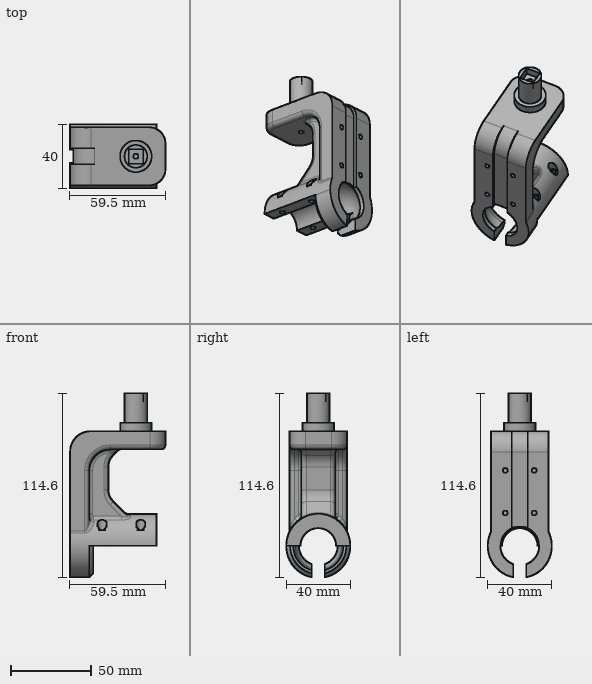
import cadquery as cq
import math

bracket_length = 59.5
bracket_width = 36.0
plate_top = 71.5
plate_thickness = 11.5
plate_corner_radius = 10.0
leg_thickness = 12.0
outer_bend_radius = 13.0
inner_bend_radius = 13.0
edge_round = 3.0
plate_bottom = plate_top - plate_thickness

groove_width = 10.0
groove_depth = 2.0
groove_end = 12.2
groove_end_round = 1.2

rib_width = 21.0
rib_front = 24.0
rib_lower_bend = 30.7
rib_upper_bend = 53.5
rib_bend_radius = 10.0
rib_root_fillet = 2.0

tolerance = 0.01

tube_radius = 20.0
tube_length = 54.0
tube_bore_radius = 11.0
tube_fillet = 3.0
ring_length = 14.5
ring_chamfer = 2.5
ring_slot_width = 8.0

socket_mouth_radius = 12.0
socket_mouth_length = 3.0
ball_radius = 14.5
ball_center = socket_mouth_length + math.sqrt(ball_radius**2 - socket_mouth_radius**2)
socket_exit_radius = 15.6

post_x = 41.0
post_radius = 14.2 / 2
post_top = 95.0
collar_radius = 19.7 / 2
collar_height = 5.2
square_size = 9.0
square_depth = 5.0
post_hole_diameter = 3.2

screw_x = (20.0, 44.0)
screw_y = 14.6
screw_diameter = 3.4
screw_head_diameter = 5.8
screw_seat = 9.6

back_hole_diameter = 3.0
back_hole_depth = 10.0
back_hole_y = 9.0
back_hole_z = (20.5, 47.0)


def make_bracket():
    """L-shaped leg and plate, its inner edge and free end rounded."""
    outline = (
        cq.Workplane("XZ")
        .moveTo(0, 0)
        .lineTo(0, plate_top - outer_bend_radius)
        .radiusArc((outer_bend_radius, plate_top), outer_bend_radius)
        .lineTo(bracket_length, plate_top)
        .lineTo(bracket_length, plate_bottom)
        .lineTo(leg_thickness + inner_bend_radius, plate_bottom)
        .radiusArc((leg_thickness, plate_bottom - inner_bend_radius), -inner_bend_radius)
        .lineTo(leg_thickness, 0)
        .close()
    )
    body = outline.extrude(bracket_width / 2, both=True)
    body = body.edges("|Z and >X").fillet(plate_corner_radius)
    inner_edge = (bracket_length / 2, -bracket_width / 2, plate_bottom)
    return body.edges(cq.selectors.NearestToPointSelector(inner_edge)).fillet(edge_round)


def make_rib():
    """Rib with a bowed, rounded front edge."""
    rib_top = plate_bottom + plate_thickness / 2
    rib_bottom = tube_radius / 2
    upper_x = rib_front + rib_top - rib_upper_bend
    lower_x = rib_front + rib_lower_bend - rib_bottom
    points = [
        (leg_thickness / 2, rib_top),
        (upper_x, rib_top),
        (rib_front, rib_upper_bend),
        (rib_front, rib_lower_bend),
        (lower_x, rib_bottom),
        (leg_thickness / 2, rib_bottom),
    ]
    rib = cq.Workplane("XZ").polyline(points).close().extrude(rib_width / 2, both=True)
    bends = cq.selectors.BoxSelector(
        (rib_front - tolerance, -rib_width, rib_lower_bend - tolerance),
        (rib_front + tolerance, rib_width, rib_upper_bend + tolerance),
    )
    rib = rib.edges("|Y").edges(bends).fillet(rib_bend_radius)
    middle_z = (rib_lower_bend + rib_upper_bend) / 2
    for side in (-1, 1):
        front_edge = cq.selectors.NearestToPointSelector((rib_front, side * rib_width / 2, middle_z))
        rib = rib.edges(front_edge).fillet(edge_round)
    return rib


def upper_half():
    """Block that covers everything above the tube axis, up to the top of the plate."""
    return cq.Workplane("XY").box(
        2 * bracket_length, 2 * tube_radius, plate_top, centered=(True, True, False)
    )


def make_half_tube():
    """Upper half of a solid cylinder along X."""
    disc = cq.Workplane("YZ").circle(tube_radius).extrude(tube_length)
    return disc.intersect(upper_half())


def is_rib_root(edge):
    """True for an edge where a side of the rib meets the leg or the bend above it."""
    middle = edge.positionAt(0.5)
    on_side = abs(abs(middle.y) - rib_width / 2) < tolerance
    ends_x = [edge.startPoint().x, edge.endPoint().x]
    within_bend = max(ends_x) < leg_thickness + inner_bend_radius + tolerance
    return on_side and within_bend and min(ends_x) < leg_thickness + tolerance


def is_tube_seam(edge):
    """True for an edge where the leg or the rib meets the outside of the tube."""
    middle = edge.positionAt(0.5)
    on_tube = abs(math.hypot(middle.y, middle.z) - tube_radius) < tolerance
    return on_tube and tolerance < middle.x < tube_length - tolerance and middle.z > tolerance


def make_body():
    """Bracket, rib and half tube blended together with fillets."""
    body = make_bracket().union(make_rib().intersect(upper_half()))
    body = body.union(make_half_tube())
    seams = [edge for edge in body.edges().vals() if is_tube_seam(edge)]
    body = body.newObject(seams).fillet(tube_fillet)
    roots = [edge for edge in body.edges().vals() if is_rib_root(edge)]
    return body.newObject(roots).fillet(rib_root_fillet)


def below_axis(solid):
    """The part of a solid that lies below the tube axis."""
    return solid.cut(upper_half())


def make_lower_ring():
    """Lower half of the ring, chamfered at its front end."""
    ring = cq.Workplane("YZ").circle(tube_radius).extrude(ring_length)
    return below_axis(ring.faces(">X").chamfer(ring_chamfer))


def make_post():
    """Collar and post with a square socket in its top."""
    post = cq.Workplane("XY", origin=(post_x, 0, plate_top)).circle(collar_radius)
    post = post.extrude(collar_height)
    post = post.faces(">Z").workplane().circle(post_radius).extrude(post_top - plate_top - collar_height)
    return post.faces(">Z").workplane().rect(square_size, square_size).cutBlind(-square_depth)


def make_post_hole():
    """Hole through the post and the plate."""
    start = cq.Workplane("XY", origin=(post_x, 0, plate_bottom))
    return start.circle(post_hole_diameter / 2).extrude(post_top - plate_bottom)


def make_bore():
    """Bore of the tube and ring, with the ball socket and its flared exit below the axis."""
    mouth = cq.Workplane("YZ").circle(socket_mouth_radius).extrude(socket_mouth_length)
    ball = cq.Workplane("XY").sphere(ball_radius).rotate((0, 0, 0), (0, 1, 0), 90)
    ball = ball.translate((ball_center, 0, 0))
    bore_start = cq.Workplane("YZ").workplane(offset=ball_center)
    bore = bore_start.circle(tube_bore_radius).extrude(tube_length - ball_center)
    flare_length = ring_length - ball_center
    flare = bore_start.circle(ball_radius).workplane(offset=flare_length).circle(socket_exit_radius).loft()
    return mouth.union(ball).union(bore).union(below_axis(flare))


def make_ring_slot():
    """Slot that opens the bottom of the ring."""
    slot = cq.Workplane("XY").box(ring_length, ring_slot_width, tube_radius, centered=(False, True, False))
    return slot.translate((0, 0, -tube_radius))


def make_groove():
    """Groove that follows the back of the leg and its outer bend, rounded over into the bore."""
    outline = (
        cq.Workplane("XZ")
        .lineTo(groove_depth + groove_end_round, 0)
        .lineTo(groove_depth + groove_end_round, groove_end - groove_end_round)
        .radiusArc((groove_depth, groove_end), groove_end_round)
        .lineTo(groove_depth, plate_top - outer_bend_radius)
        .radiusArc((groove_depth + outer_bend_radius, plate_top), outer_bend_radius)
        .lineTo(0, plate_top)
        .close()
    )
    return outline.extrude(groove_width / 2, both=True)


def make_screw_holes():
    """Vertical counterbored holes on both sides of the tube."""
    places = [(x, side * screw_y) for x in screw_x for side in (-1, 1)]
    shanks = cq.Workplane("XY").pushPoints(places).circle(screw_diameter / 2).extrude(screw_seat)
    seats = cq.Workplane("XY").workplane(offset=screw_seat).pushPoints(places)
    heads = seats.circle(screw_head_diameter / 2).extrude(tube_radius - screw_seat)
    return shanks.union(heads)


def make_back_holes():
    """Blind holes in the back of the leg."""
    places = [(side * back_hole_y, z) for z in back_hole_z for side in (-1, 1)]
    return cq.Workplane("YZ").pushPoints(places).circle(back_hole_diameter / 2).extrude(back_hole_depth)


result = make_body().union(make_lower_ring()).union(make_post())
result = result.cut(make_bore()).cut(make_ring_slot()).cut(make_groove())
result = result.cut(make_screw_holes()).cut(make_back_holes()).cut(make_post_hole())